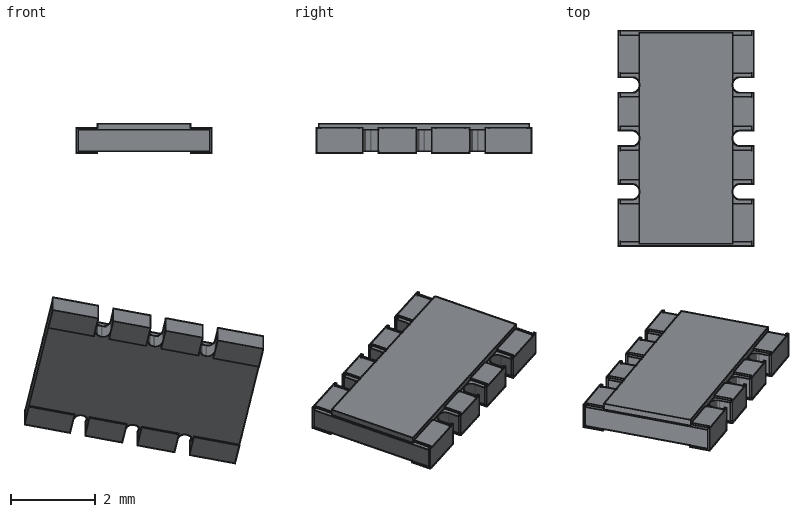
import cadquery as cq

length = 5.08
width = 3.2

metal = 0.05
bottom_metal = 0.045
substrate_height = 0.505
cover_height = 0.15

cover_width = 2.2
cover_end_inset = 0.05

slot_count = 3
slot_pitch = 1.26
slot_width = 0.36
slot_corner_radius = 0.175

top_pad_inset = 0.1

substrate_width = width - 2 * metal
substrate_bottom = bottom_metal
substrate_top = substrate_bottom + substrate_height
terminal_height = substrate_top + metal
pad_length = (width - cover_width) / 2
slot_centers = [(i - (slot_count - 1) / 2) * slot_pitch for i in range(slot_count)]


def box_between(x_range, y_range, z_range):
    """Axis-aligned box given by its lower and upper limits on each axis."""
    (x0, x1), (y0, y1), (z0, z1) = x_range, y_range, z_range
    return cq.Workplane("XY").box(x1 - x0, y1 - y0, z1 - z0, centered=False).translate((x0, y0, z0))


def make_slot(side, y_center):
    """Cutter for one slot, reaching in to the cover's edge and rounded at its inner corners."""
    cutter = box_between(
        (cover_width / 2, width / 2),
        (y_center - slot_width / 2, y_center + slot_width / 2),
        (0, terminal_height),
    )
    cutter = cutter.edges("|Z and <X").fillet(slot_corner_radius)
    return cutter if side > 0 else cutter.mirror("YZ")


def make_substrate():
    """Ceramic block with slots cut through both long sides."""
    block = box_between(
        (-substrate_width / 2, substrate_width / 2),
        (-length / 2, length / 2),
        (substrate_bottom, substrate_top),
    )
    for side in (-1, 1):
        for y_center in slot_centers:
            block = block.cut(make_slot(side, y_center))
    return block


def make_cover():
    """Flat plate resting on the substrate between the two rows of terminals."""
    half_length = length / 2 - cover_end_inset
    return box_between(
        (-cover_width / 2, cover_width / 2),
        (-half_length, half_length),
        (substrate_top, substrate_top + cover_height),
    )


def make_terminal(side, y_start, y_end):
    """C-shaped clip: outer wall, narrower top pad and full-width bottom pad."""
    outer_x = width / 2
    pad_x_range = (outer_x - pad_length, outer_x)
    wall = box_between((outer_x - metal, outer_x), (y_start, y_end), (0, terminal_height))
    top_pad = box_between(
        pad_x_range,
        (y_start + top_pad_inset, y_end - top_pad_inset),
        (substrate_top, terminal_height),
    )
    bottom_pad = box_between(pad_x_range, (y_start, y_end), (0, bottom_metal))
    clip = wall.union(top_pad).union(bottom_pad)
    return clip if side > 0 else clip.mirror("YZ")


starts = [-length / 2] + [y + slot_width / 2 for y in slot_centers]
ends = [y - slot_width / 2 for y in slot_centers] + [length / 2]

substrate = make_substrate()
cover = make_cover()
terminals = [
    make_terminal(side, y_start, y_end)
    for side in (-1, 1)
    for y_start, y_end in zip(starts, ends)
]

result = cq.Compound.makeCompound(
    [substrate.val(), cover.val(), *[terminal.val() for terminal in terminals]]
)